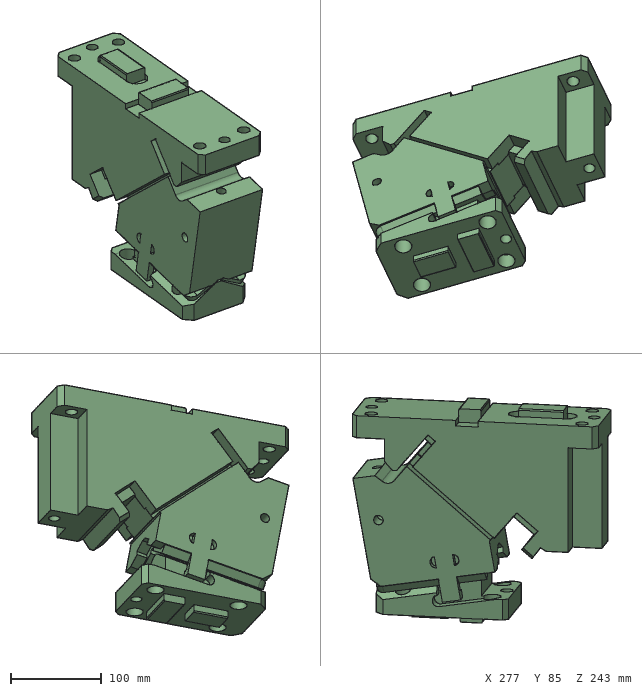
import cadquery as cq
import math


UNIT_LENGTH = 277.0
UNIT_WIDTH = 85.0
OVERALL_HEIGHT = 243.0
SHUT_HEIGHT = 225.0
HALF_WIDTH = UNIT_WIDTH / 2
KEY_HEIGHT = (OVERALL_HEIGHT - SHUT_HEIGHT) / 2
KEY_WIDTH = 25.2
KEY_LENGTH = 50.0
KEY_BEVEL_DEPTH = 1.7
KEY_BEVEL_WIDTH = 0.8
CUT = 277.0

RAMP_ANGLE = math.radians(40)
RAMP_ORIGIN = (120.2, 90.5)
RAMP_LENGTH = 123.3
RAMP_GAP = 4.2
TONGUE_START = -2.0
TONGUE_HALF_WIDTH = 27.0
TONGUE_STEP_V = 14.0
TONGUE_TOP_HALF_WIDTH = 24.0
TONGUE_HEIGHT = 31.5
CHANNEL_HEIGHT = 33.0

TRAVEL_ANGLE = math.radians(10)
TRAVEL_ORIGIN = (115.5, 54.3)
ROOF_ANGLE = math.radians(30)
ROOF_SLOPE = math.tan(ROOF_ANGLE)


def ramp_point(u, v):
    """(x, z) of a point given along and square to the ramp."""
    x = RAMP_ORIGIN[0] + u * math.cos(RAMP_ANGLE) - v * math.sin(RAMP_ANGLE)
    z = RAMP_ORIGIN[1] + u * math.sin(RAMP_ANGLE) + v * math.cos(RAMP_ANGLE)
    return x, z


def travel_point(s, n):
    """(x, z) of a point given along and square to the travel path."""
    x = TRAVEL_ORIGIN[0] + s * math.cos(TRAVEL_ANGLE) + n * math.sin(TRAVEL_ANGLE)
    z = TRAVEL_ORIGIN[1] - s * math.sin(TRAVEL_ANGLE) + n * math.cos(TRAVEL_ANGLE)
    return x, z


def side_prism(points, y_from, y_to):
    """Extrude a closed (x, z) outline between two Y positions."""
    plane = cq.Plane(origin=(0, y_to, 0), xDir=(1, 0, 0), normal=(0, -1, 0))
    return cq.Workplane(plane).polyline(points).close().extrude(y_to - y_from)


def central_prism(points, half_width):
    return side_prism(points, -half_width, half_width)


def both_sides(points, y_inner, y_outer):
    """Two mirrored extrusions of one (x, z) outline, left and right of the middle plane."""
    near = side_prism(points, -y_outer, -y_inner)
    return near.union(near.mirror("XZ"))


def ramp_box(u_from, u_to, v_from, v_to):
    """Corner points of a rectangle lying along the ramp."""
    return [ramp_point(u, v) for u, v in
            ((u_from, v_from), (u_to, v_from), (u_to, v_to), (u_from, v_to))]


def travel_box(s_from, s_to, n_from, n_to):
    """Corner points of a rectangle lying along the travel path."""
    return [travel_point(s, n) for s, n in
            ((s_from, n_from), (s_to, n_from), (s_to, n_to), (s_from, n_to))]


def travel_profile(section, s_from, s_to):
    """Extrude a closed (y, n) section along the travel path."""
    x, z = travel_point(s_from, 0)
    direction = (math.cos(TRAVEL_ANGLE), 0, -math.sin(TRAVEL_ANGLE))
    plane = cq.Plane(origin=(x, 0, z), xDir=(0, 1, 0), normal=direction)
    return cq.Workplane(plane).polyline(section).close().extrude(s_to - s_from)


def symmetric(half_section):
    """Complete a (y, n) outline with its mirror image."""
    return half_section + [(-y, n) for y, n in reversed(half_section)]


def stepped_tongue(u_end, height):
    """Tongue standing on the ramp, narrower above its step."""
    lower = ramp_box(TONGUE_START, u_end, 0, TONGUE_STEP_V)
    whole = ramp_box(TONGUE_START, u_end, 0, height)
    return central_prism(whole, TONGUE_TOP_HALF_WIDTH).union(central_prism(lower, TONGUE_HALF_WIDTH))


def block(x_from, x_to, width, z_from, z_to):
    """Upright box centred on the middle plane."""
    size = (x_to - x_from, width, z_to - z_from)
    centre = ((x_from + x_to) / 2, 0, (z_from + z_to) / 2)
    return cq.Workplane("XY").box(*size).translate(centre)


def drill(x, y, diameter, z_from, z_to):
    """Vertical cylinder used as a cutter."""
    return cq.Workplane("XY", origin=(x, y, z_from)).circle(diameter / 2).extrude(z_to - z_from)


def bevelled_key(x_from, x_to, width, z_from, z_to, bevel_face, long_edges):
    """Rectangular key whose two long outer edges are slightly bevelled."""
    edges = block(x_from, x_to, width, z_from, z_to).faces(bevel_face).edges(long_edges)
    return edges.chamfer(KEY_BEVEL_DEPTH, KEY_BEVEL_WIDTH)


FLANGE_THICKNESS = 25.2
FLANGE_CORNER = 6.0
FLANGE_UNDERSIDE = SHUT_HEIGHT - FLANGE_THICKNESS
LEG_BOTTOM = 80.5
LEG_WEB_LENGTH = 33.0
LEG_WEB_WIDTH = 35.5
LEG_TOE = (58.0, LEG_BOTTOM)
LEG_NOTCH = (64.3, 84.5)
LIP_OUTER = -48.0
LIP_INNER = -32.7
LIP_TIP = 13.8
LIP_BEVEL_Y = 5.0
LIP_BEVEL_V = 4.2
POCKET_TOP = 43.8
HOLDER_RAMP_END = 118.0
NOSE_FACE = 128.5
NOSE_BOTTOM = 164.5
NOSE_TIP = (230.7, NOSE_BOTTOM)
NOSE_HEEL = (239.5, 174.2)
KEYWAY_DEPTH = 6.5
CROSS_KEY_X = 134.3
LONG_KEY_X = 44.3
LONG_KEYWAY = (31.5, 108.0)
BOLT_DIAMETER = 13.5
BOLT_Y = 30.0
BOLT_XS = (20.0, 257.0)
DOWEL_DIAMETER = 12.5
DOWEL_XS = (12.0, 262.3)


def holder_outline():
    nose_drop = (NOSE_BOTTOM - ramp_point(NOSE_FACE, 0)[1]) / math.cos(RAMP_ANGLE)
    return [
        (0, SHUT_HEIGHT),
        (0, LEG_BOTTOM),
        LEG_TOE,
        LEG_NOTCH,
        ramp_point(LIP_OUTER, LIP_TIP),
        ramp_point(LIP_INNER, LIP_TIP),
        ramp_point(LIP_INNER, CHANNEL_HEIGHT),
        ramp_point(TONGUE_START, CHANNEL_HEIGHT),
        ramp_point(TONGUE_START, RAMP_GAP),
        ramp_point(HOLDER_RAMP_END, RAMP_GAP),
        ramp_point(HOLDER_RAMP_END, CHANNEL_HEIGHT),
        ramp_point(NOSE_FACE, CHANNEL_HEIGHT),
        ramp_point(NOSE_FACE, nose_drop),
        NOSE_TIP,
        NOSE_HEEL,
        (NOSE_HEEL[0], FLANGE_UNDERSIDE),
        (UNIT_LENGTH, FLANGE_UNDERSIDE),
        (UNIT_LENGTH, SHUT_HEIGHT),
    ]


def lip_bevels():
    """Wedges that take the two outer corners off the lip tip."""
    x, z = ramp_point(LIP_OUTER, LIP_TIP)
    direction = (math.cos(RAMP_ANGLE), 0, math.sin(RAMP_ANGLE))
    plane = cq.Plane(origin=(x, 0, z), xDir=(0, 1, 0), normal=direction)
    corner = [(HALF_WIDTH, 0), (HALF_WIDTH - LIP_BEVEL_Y, 0), (HALF_WIDTH, LIP_BEVEL_V)]
    wedge = cq.Workplane(plane).polyline(corner).close().extrude(LIP_INNER - LIP_OUTER)
    return wedge.union(wedge.mirror("XZ"))


def make_holder():
    holder = central_prism(holder_outline(), HALF_WIDTH)
    corner_cut = block(0, UNIT_LENGTH, UNIT_WIDTH, 0, SHUT_HEIGHT).edges("|Z").chamfer(FLANGE_CORNER)
    holder = holder.intersect(corner_cut)
    leg_side = [(0, 0), (LEG_WEB_LENGTH, 0), (LEG_WEB_LENGTH, FLANGE_UNDERSIDE), (0, FLANGE_UNDERSIDE)]
    holder = holder.cut(both_sides(leg_side, LEG_WEB_WIDTH / 2, HALF_WIDTH))
    holder = holder.cut(stepped_tongue(NOSE_FACE, CHANNEL_HEIGHT))
    for u_from, u_to in ((LIP_INNER, TONGUE_START), (HOLDER_RAMP_END, NOSE_FACE)):
        pocket = ramp_box(u_from, u_to, CHANNEL_HEIGHT, POCKET_TOP)
        holder = holder.cut(both_sides(pocket, TONGUE_HALF_WIDTH, HALF_WIDTH))
    holder = holder.cut(lip_bevels())
    keyway_floor = SHUT_HEIGHT - KEYWAY_DEPTH
    key_top = SHUT_HEIGHT + KEY_HEIGHT
    keyway_start, keyway_end = LONG_KEYWAY
    long_keyway = (cq.Workplane("XY", origin=((keyway_start + keyway_end) / 2, 0, keyway_floor))
                   .slot2D(keyway_end - keyway_start, KEY_WIDTH).extrude(KEYWAY_DEPTH))
    cross_key_end = CROSS_KEY_X + KEY_WIDTH
    cross_keyway = block(CROSS_KEY_X, cross_key_end, UNIT_WIDTH, keyway_floor, SHUT_HEIGHT)
    long_key = bevelled_key(LONG_KEY_X, LONG_KEY_X + KEY_LENGTH, KEY_WIDTH, keyway_floor, key_top, ">Z", "|X")
    cross_key = bevelled_key(CROSS_KEY_X, cross_key_end, KEY_LENGTH, keyway_floor, key_top, ">Z", "|Y")
    holder = holder.cut(long_keyway).cut(cross_keyway).union(long_key).union(cross_key)
    for x in BOLT_XS:
        for y in (-BOLT_Y, BOLT_Y):
            holder = holder.cut(drill(x, y, BOLT_DIAMETER, FLANGE_UNDERSIDE, SHUT_HEIGHT))
    for x in DOWEL_XS:
        holder = holder.cut(drill(x, 0, DOWEL_DIAMETER, 0, SHUT_HEIGHT))
    return holder


SLIDE_LENGTH = 140.2
SLIDE_HEIGHT = 125.2
SLIDE_FRONT_HEIGHT = 35.5
SLIDE_CHAMFER = 10.0
VALLEY_DEPTH = -31.5
VALLEY_RADIUS = 9.7
VALLEY_TOP = 115.0
VEE_HALF_WIDTH = 28.5
RELIEF_INNER_Y = 13.5
RELIEF_DEPTH = 6.5
VEE_FLAT_Y = 3.5
PLATE_OUTER_Y = 41.0
PLATE_TOE = (35.5, -8.5)
PLATE_START = 12.0
PLATE_END = 137.5
PLATE_END_RADIUS = 8.3
HOOK_START = 43.8
HOOK_WIDTH = 20.8
HOOK_BOTTOM = -26.3
HOOK_INNER_Y = 35.2
HOOK_FOOT_Y = 30.0
HOOK_FOOT_HEIGHT = 9.0
HOOK_POCKET_N = 19.5
HOOK_POCKET_LENGTH = 32.7
HOOK_POCKET_HEIGHT = 12.5
HOOK_POCKET_DEPTH = 7.5
LIFT_DIAMETER = 10.5
LIFT_TIP = 3.0
SIDE_LIFT = (246.5, 107.2)
TOP_LIFT_S = 120.8
LIFT_DEPTH = 22.2


def lift_drill():
    """Blind drill with a conical tip, pointing along +Z from the origin."""
    radius = LIFT_DIAMETER / 2
    tip = LIFT_DEPTH + LIFT_TIP
    half_profile = [(0, 0), (radius, 0), (radius, LIFT_DEPTH), (0, tip)]
    return cq.Workplane("XZ").polyline(half_profile).close().revolve(360, (0, 0, 0), (0, 1, 0))


def slide_block():
    """Slide body with its rounded valley and the tongue that fills the holder channel."""
    rise_end = travel_point(VALLEY_TOP, SLIDE_HEIGHT)
    bend_inset = VALLEY_RADIUS * (1 - math.sqrt(0.5))
    bend_middle = ramp_point(RAMP_LENGTH + bend_inset, VALLEY_DEPTH + bend_inset)
    plane = cq.Plane(origin=(0, HALF_WIDTH, 0), xDir=(1, 0, 0), normal=(0, -1, 0))
    body = (cq.Workplane(plane)
            .moveTo(*travel_point(0, 0))
            .lineTo(*travel_point(SLIDE_LENGTH - SLIDE_CHAMFER, 0))
            .lineTo(*travel_point(SLIDE_LENGTH, SLIDE_CHAMFER))
            .lineTo(*travel_point(SLIDE_LENGTH, SLIDE_HEIGHT))
            .lineTo(*rise_end)
            .lineTo(*ramp_point(RAMP_LENGTH + VALLEY_RADIUS, VALLEY_DEPTH))
            .threePointArc(bend_middle, ramp_point(RAMP_LENGTH, VALLEY_DEPTH + VALLEY_RADIUS))
            .lineTo(*ramp_point(RAMP_LENGTH, 0))
            .lineTo(*ramp_point(0, 0))
            .lineTo(*travel_point(0, SLIDE_FRONT_HEIGHT))
            .close().extrude(UNIT_WIDTH))
    return body.union(stepped_tongue(RAMP_LENGTH, TONGUE_HEIGHT))


def vee_height(y):
    """n of the slide's vee face at a distance y from the middle plane."""
    return (VEE_HALF_WIDTH - y) * ROOF_SLOPE


def vee_cutter():
    """Vee along the whole underside of the slide."""
    half = [
        (VEE_HALF_WIDTH, 0),
        (VEE_FLAT_Y, vee_height(VEE_FLAT_Y)),
    ]
    return travel_profile(symmetric(half), -SLIDE_LENGTH, 2 * SLIDE_LENGTH)


def relief_cutter():
    """Deeper middle of the vee, open at the slide's -X end and closed by the wear plates."""
    step_y = RELIEF_INNER_Y + RELIEF_DEPTH * math.sin(ROOF_ANGLE)
    step_n = vee_height(RELIEF_INNER_Y) + RELIEF_DEPTH * math.cos(ROOF_ANGLE)
    half = [
        (RELIEF_INNER_Y, 0),
        (RELIEF_INNER_Y, vee_height(RELIEF_INNER_Y)),
        (step_y, step_n),
        (VEE_FLAT_Y, step_n + (step_y - VEE_FLAT_Y) * ROOF_SLOPE),
    ]
    return travel_profile(symmetric(half), -SLIDE_LENGTH, PLATE_START)


def wear_plate():
    """Sloping wear plate under the +Y side of the vee, with its far outer corner rounded."""
    toe_y, toe_n = PLATE_TOE
    section = [
        (PLATE_OUTER_Y, 0),
        PLATE_TOE,
        (VEE_FLAT_Y, toe_n + (toe_y - VEE_FLAT_Y) * ROOF_SLOPE),
        (VEE_FLAT_Y, vee_height(VEE_FLAT_Y)),
        (VEE_HALF_WIDTH, 0),
    ]
    plate = travel_profile(section, PLATE_START, PLATE_END)
    corner_x, corner_z = travel_point(PLATE_END, toe_n / 2)
    corner = (corner_x, (PLATE_OUTER_Y + toe_y) / 2, corner_z)
    return plate.edges(cq.selectors.NearestToPointSelector(corner)).fillet(PLATE_END_RADIUS)


def retaining_hook():
    """Flush strap on the slide's +Y side that hangs down and turns inward beside the rail."""
    section = [
        (HALF_WIDTH, HOOK_POCKET_N + HOOK_POCKET_HEIGHT),
        (HALF_WIDTH, HOOK_BOTTOM),
        (HOOK_FOOT_Y, HOOK_BOTTOM),
        (HOOK_FOOT_Y, HOOK_BOTTOM + HOOK_FOOT_HEIGHT),
        (HOOK_INNER_Y, HOOK_BOTTOM + HOOK_FOOT_HEIGHT),
        (HOOK_INNER_Y, HOOK_POCKET_N + HOOK_POCKET_HEIGHT),
    ]
    return travel_profile(section, HOOK_START, HOOK_START + HOOK_WIDTH)


def hook_pocket():
    """Round-ended pocket in the slide's +Y side, crossed by the hook strap."""
    x, z = travel_point(HOOK_START + HOOK_WIDTH / 2, HOOK_POCKET_N)
    direction = (math.cos(TRAVEL_ANGLE), 0, -math.sin(TRAVEL_ANGLE))
    plane = cq.Plane(origin=(x, HALF_WIDTH, z), xDir=direction, normal=(0, -1, 0))
    return cq.Workplane(plane).slot2D(HOOK_POCKET_LENGTH, HOOK_POCKET_HEIGHT).extrude(HOOK_POCKET_DEPTH)


def make_slide():
    slide = slide_block().cut(vee_cutter()).cut(relief_cutter())
    plate = wear_plate()
    pocket = hook_pocket()
    hook = retaining_hook()
    slide = slide.union(plate).union(plate.mirror("XZ"))
    slide = slide.cut(pocket).cut(pocket.mirror("XZ"))
    slide = slide.union(hook).union(hook.mirror("XZ"))
    side_hole = lift_drill().rotate((0, 0, 0), (1, 0, 0), -90)
    side_hole = side_hole.translate((SIDE_LIFT[0], -HALF_WIDTH, SIDE_LIFT[1]))
    slide = slide.cut(side_hole).cut(side_hole.mirror("XZ"))
    top_x, top_z = travel_point(TOP_LIFT_S, SLIDE_HEIGHT)
    top_hole = lift_drill().rotate((0, 0, 0), (0, 1, 0), 180 + math.degrees(TRAVEL_ANGLE))
    return slide.cut(top_hole.translate((top_x, 0, top_z)))


BASE_START = 101.0
BASE_END = 251.0
BASE_THICKNESS = 23.3
BASE_START_CORNER = 5.5
BASE_END_CORNER = 9.5
RAIL_START = 133.0
RAIL_HALF_WIDTH = 29.5
RAIL_GAP = 2.2
HOOK_SLOT_FLOOR = -30.7
HOOK_SLOT_RADIUS = 6.5
HOOK_SLOT_CENTRE_S = 69.2
BASE_BOLT_DIAMETER = 18.8
BASE_BOLT_Y = 29.6
BASE_BOLT_XS = (120.8, 220.2)
BASE_DOWEL_X = 110.2
BASE_DOWEL_DIAMETER = 12.2
BASE_DOWEL_MOUTH = 4.2
BASE_CROSS_KEY_X = 133.0
BASE_LONG_KEY = (174.0, 214.7)


def rail_roof():
    """Everything below the roof planes, along the whole travel path."""
    toe_y, toe_n = PLATE_TOE
    eave_n = toe_n - RAIL_GAP - (HALF_WIDTH - toe_y) * ROOF_SLOPE
    ridge_n = toe_n - RAIL_GAP + (toe_y - VEE_FLAT_Y) * ROOF_SLOPE
    half = [(HALF_WIDTH, -CUT), (HALF_WIDTH, eave_n), (VEE_FLAT_Y, ridge_n)]
    return travel_profile(symmetric(half), -CUT, CUT)


def hook_channels():
    """Side channels beside the narrow rail, ending in round-ended slots for the hooks."""
    slot_n = HOOK_SLOT_FLOOR + HOOK_SLOT_RADIUS
    open_box = travel_box(-CUT, HOOK_SLOT_CENTRE_S, HOOK_SLOT_FLOOR, CUT)
    channels = both_sides(open_box, RAIL_HALF_WIDTH, HALF_WIDTH)
    x, z = travel_point(HOOK_SLOT_CENTRE_S, slot_n)
    plane = cq.Plane(origin=(x, HALF_WIDTH, z), xDir=(1, 0, 0), normal=(0, -1, 0))
    slot_end = cq.Workplane(plane).circle(HOOK_SLOT_RADIUS).extrude(HALF_WIDTH - RAIL_HALF_WIDTH)
    return channels.union(slot_end).union(slot_end.mirror("XZ"))


def make_base():
    foot = block(BASE_START, RAIL_START, UNIT_WIDTH, 0, BASE_THICKNESS)
    foot = foot.edges("|Z and <X").chamfer(BASE_START_CORNER)
    rail = block(RAIL_START, BASE_END, UNIT_WIDTH, 0, SHUT_HEIGHT)
    rail = rail.edges("|Z and >X").chamfer(BASE_END_CORNER).intersect(rail_roof())
    base = foot.union(rail).cut(hook_channels())
    for x in BASE_BOLT_XS:
        for y in (-BASE_BOLT_Y, BASE_BOLT_Y):
            base = base.cut(drill(x, y, BASE_BOLT_DIAMETER, 0, SHUT_HEIGHT))
    base = base.cut(drill(BASE_DOWEL_X, 0, BASE_DOWEL_DIAMETER, 0, BASE_THICKNESS))
    mouth_floor = BASE_THICKNESS - BASE_DOWEL_MOUTH
    base = base.cut(drill(BASE_DOWEL_X, 0, BOLT_DIAMETER, mouth_floor, BASE_THICKNESS))
    cross_key_end = BASE_CROSS_KEY_X + KEY_WIDTH
    cross_key = bevelled_key(BASE_CROSS_KEY_X, cross_key_end, KEY_LENGTH, -KEY_HEIGHT, 0, "<Z", "|Y")
    long_key = bevelled_key(*BASE_LONG_KEY, KEY_WIDTH, -KEY_HEIGHT, 0, "<Z", "|X")
    return base.union(cross_key).union(long_key)


holder = make_holder()
slide = make_slide()
base = make_base()
bodies = [holder.solids().val(), slide.solids().val(), base.solids().val()]
result = cq.Compound.makeCompound(bodies)